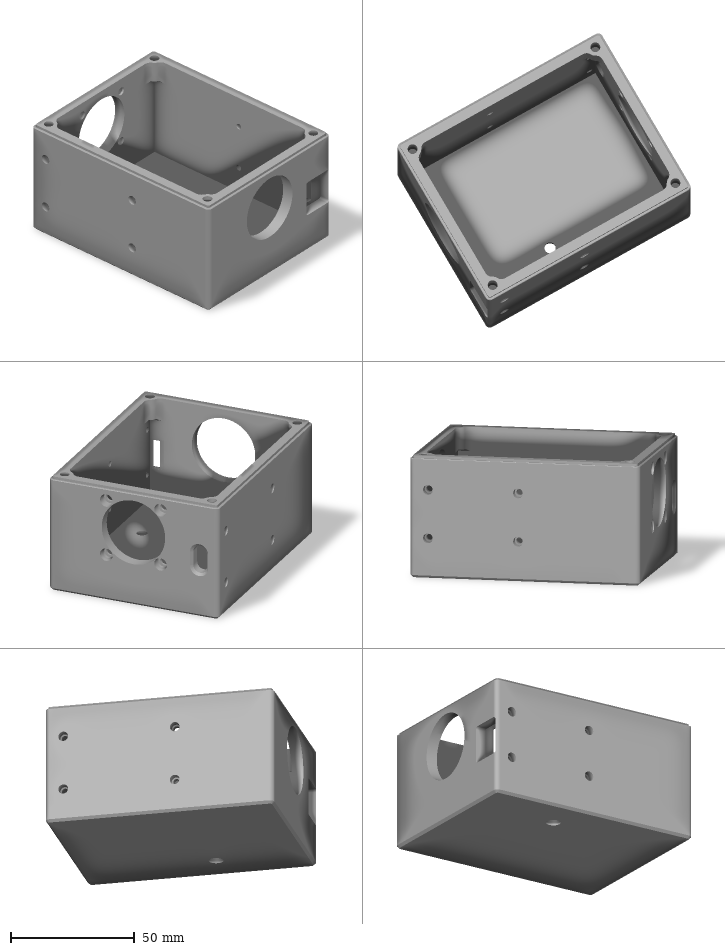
import cadquery as cq
import math

length = 95.0
width = 75.0
height = 50.0
wall = 4.9
edge_radius = 2.0
bottom_chamfer = 1.0

rim_inset = 1.0
rim_height = 1.0
ledge_chamfer = 0.2

top = height / 2
floor_top = wall - top
inner_length = length - 2 * wall
inner_width = width - 2 * wall
overrun = 0.95

post_radius = 3.5
post_fillet = 3.0
post_height = 10.0
skirt_height = 1.0
lid_screw_diameter = 4.0
lid_screw_depth = 8.0

opening_diameter = 28.0
opening_z = 7.0
fan_screw_spacing = 23.9
fan_screw_diameter = 3.5
fan_head_diameter = 5.5
fan_head_depth = 4.0

slot_y = -29.0
slot_width = 6.0
slot_height = 12.0
slot_chamfer = 1.0

socket_y = 29.5
window_width = 3.0
window_height = 12.1
recess_width = 6.6
recess_height = 13.1
recess_depth = 0.1
pocket_width = 14.0
pocket_height = 15.8
pocket_depth = 4.6
pocket_corner_radius = 1.0

board_screw_diameter = 2.6
board_head_diameter = 4.0
board_head_depth = 3.0
front_screw_xs = (-39.9, 6.5)
front_screw_zs = (-11.4, 11.4)
back_screw_xs = (2.7, 39.9)
back_screw_zs = (-8.6, 11.2)

floor_hole_x = 9.4
floor_hole_y = 21.4
floor_hole_diameter = 4.6
floor_head_diameter = 6.0
floor_head_depth = 4.0


def stepped_hole(plane, points, diameter, head_diameter, head_depth):
    """Holes through one wall, widened at their outer end; the plane's normal points into the box."""
    through = cq.Workplane(plane).pushPoints(points).circle(diameter / 2).extrude(wall + overrun)
    heads = cq.Workplane(plane).pushPoints(points).circle(head_diameter / 2).extrude(head_depth)
    return through.union(heads)


def corner_post():
    """Post in the -X, -Y inner corner, blended into both walls."""
    overlap = wall / 2
    reach = math.sqrt(post_radius**2 + 2 * post_radius * post_fillet)
    blend_angle = math.atan2(post_fillet, reach)
    near = post_radius * math.cos(blend_angle)
    far = post_radius * math.sin(blend_angle)
    half_turn = (math.pi / 2 - blend_angle) / 2
    blend_along = reach - post_fillet * math.sin(half_turn)
    blend_off = post_fillet - post_fillet * math.cos(half_turn)
    middle = post_radius / math.sqrt(2)
    return (
        cq.Workplane("XY")
        .moveTo(-overlap, -overlap)
        .lineTo(reach, -overlap)
        .lineTo(reach, 0)
        .threePointArc((blend_along, blend_off), (near, far))
        .threePointArc((middle, middle), (far, near))
        .threePointArc((blend_off, blend_along), (0, reach))
        .lineTo(-overlap, reach)
        .close()
        .extrude(post_height)
        .translate((-inner_length / 2, -inner_width / 2, top - post_height))
    )


left_face = cq.Plane(origin=(-length / 2, 0, 0), xDir=(0, -1, 0), normal=(1, 0, 0))
right_face = cq.Plane(origin=(length / 2, 0, 0), xDir=(0, 1, 0), normal=(-1, 0, 0))
front_face = cq.Plane(origin=(0, -width / 2, 0), xDir=(1, 0, 0), normal=(0, -1, 0))
back_face = cq.Plane(origin=(0, width / 2, 0), xDir=(1, 0, 0), normal=(0, -1, 0))
left_face = cq.Plane(origin=(-length / 2, 0, 0), xDir=(0, 1, 0), normal=(1, 0, 0))
right_face = cq.Plane(origin=(length / 2, 0, 0), xDir=(0, -1, 0), normal=(-1, 0, 0))
front_face = cq.Plane(origin=(0, -width / 2, 0), xDir=(-1, 0, 0), normal=(0, 1, 0))
bottom_face = cq.Plane(origin=(0, 0, -top), xDir=(1, 0, 0), normal=(0, 0, 1))

body = (
    cq.Workplane("XY")
    .box(length, width, height - rim_height)
    .edges("|Z")
    .fillet(edge_radius)
    .faces("<Z")
    .edges()
    .chamfer(bottom_chamfer)
    .faces(">Z")
    .edges()
    .chamfer(ledge_chamfer)
    .translate((0, 0, -rim_height / 2))
)
rim = (
    cq.Workplane("XY", origin=(0, 0, top - rim_height))
    .rect(length - 2 * rim_inset, width - 2 * rim_inset)
    .extrude(rim_height)
    .edges("|Z")
    .fillet(edge_radius - rim_inset)
)
body = body.union(rim)
cavity = cq.Workplane("XY", origin=(0, 0, floor_top)).rect(inner_length, inner_width).extrude(height)
body = body.cut(cavity)

post = corner_post()
for one_end in (post, post.mirror("YZ")):
    body = body.union(one_end).union(one_end.mirror("XZ"))
post_underside = (
    cq.Workplane("XY", origin=(0, 0, top - post_height))
    .rect(inner_length, inner_width)
    .extrude(skirt_height, taper=45)
)
body = body.cut(post_underside)
lid_screws = (
    cq.Workplane("XY", origin=(0, 0, top))
    .rect(inner_length, inner_width, forConstruction=True)
    .vertices()
    .circle(lid_screw_diameter / 2)
    .extrude(-lid_screw_depth)
)
body = body.cut(lid_screws)

openings = (
    cq.Workplane(left_face)
    .center(0, opening_z)
    .circle(opening_diameter / 2)
    .extrude(length)
)
fan_points = [
    (side * fan_screw_spacing / 2, opening_z + level * fan_screw_spacing / 2)
    for side in (-1, 1)
    for level in (-1, 1)
]
fan_screws = stepped_hole(left_face, fan_points, fan_screw_diameter, fan_head_diameter, fan_head_depth)
body = body.cut(openings).cut(fan_screws)

slot = (
    cq.Workplane(left_face)
    .center(slot_y, 0)
    .slot2D(slot_height, slot_width, 90)
    .extrude(wall + overrun)
)
slot_rim = (
    cq.Workplane(left_face)
    .center(slot_y, 0)
    .slot2D(slot_height + 2 * slot_chamfer, slot_width + 2 * slot_chamfer, 90)
    .extrude(slot_chamfer, taper=45)
)
body = body.cut(slot).cut(slot_rim)

socket = cq.Workplane(right_face).center(-socket_y, 0)
window = socket.rect(window_width, window_height).extrude(wall + overrun)
pocket = (
    socket.rect(pocket_width, pocket_height)
    .extrude(pocket_depth)
    .edges("|X")
    .fillet(pocket_corner_radius)
)
recess = (
    socket.workplane(offset=wall - recess_depth)
    .rect(recess_width, recess_height)
    .extrude(2 * recess_depth)
)
body = body.cut(window).cut(pocket).cut(recess)

front_points = [(-x, z) for x in front_screw_xs for z in front_screw_zs]
back_points = [(x, z) for x in back_screw_xs for z in back_screw_zs]
for face, points in ((front_face, front_points), (back_face, back_points)):
    body = body.cut(
        stepped_hole(face, points, board_screw_diameter, board_head_diameter, board_head_depth)
    )

floor_point = [(floor_hole_x, floor_hole_y)]
body = body.cut(
    stepped_hole(bottom_face, floor_point, floor_hole_diameter, floor_head_diameter, floor_head_depth)
)

result = body